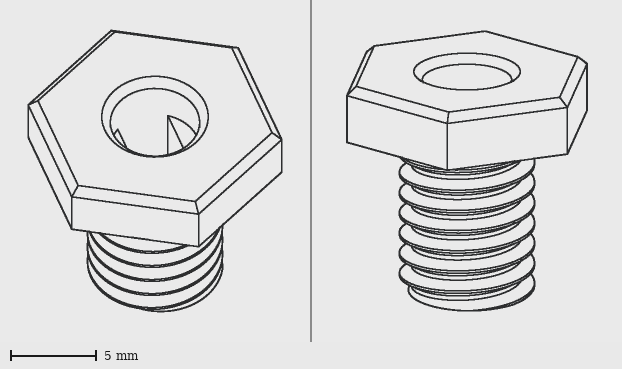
import cadquery as cq
import math

head_sides = 6
head_corner_diameter = 15.0
head_height = 3.4
head_chamfer = 0.5

shank_length = 10.0
thread_major_radius = 7.87 / 2
thread_minor_radius = 6.45 / 2
thread_pitch = 1.25
flank_angle = 30.0
crest_width = thread_pitch / 8
crest_height_at_x = 0.75 * thread_pitch
spare_turns = 2
ridge_embed = 0.1

socket_diameter = 5.2
socket_chamfer = 0.5
round_depth = 2.8
flats_depth = 6.0
flats_width = 3.1

total_height = shank_length + head_height


def make_head():
    return (
        cq.Workplane("XY")
        .workplane(offset=shank_length)
        .polygon(head_sides, head_corner_diameter)
        .extrude(head_height)
        .faces(">Z")
        .chamfer(head_chamfer)
    )


def make_thread_ridge():
    """Right-handed helical ridge, trimmed flat at both ends of the shank."""
    start_z = crest_height_at_x - spare_turns * thread_pitch
    sweep_height = shank_length + 2 * spare_turns * thread_pitch
    base_radius = thread_minor_radius - ridge_embed
    crest_half = crest_width / 2
    flank_rise = (thread_major_radius - base_radius) * math.tan(math.radians(flank_angle))
    base_half = crest_half + flank_rise

    helix = cq.Wire.makeHelix(
        thread_pitch, sweep_height, thread_minor_radius, center=cq.Vector(0, 0, start_z)
    )
    ridge = (
        cq.Workplane("XZ")
        .polyline([
            (base_radius, start_z - base_half),
            (thread_major_radius, start_z - crest_half),
            (thread_major_radius, start_z + crest_half),
            (base_radius, start_z + base_half),
        ])
        .close()
        .sweep(cq.Workplane(helix), isFrenet=True)
    )
    trim = cq.Workplane("XY").circle(head_corner_diameter / 2).extrude(shank_length)
    return ridge.intersect(trim)


def make_shank():
    core = cq.Workplane("XY").circle(thread_minor_radius).extrude(shank_length)
    return core.union(make_thread_ridge())


def make_socket():
    """Round bore, entry chamfer and the deeper part narrowed by two flats."""
    top = cq.Workplane("XY").workplane(offset=total_height)
    bore = top.circle(socket_diameter / 2).extrude(-round_depth)
    entry = cq.Workplane(cq.Solid.makeCone(
        socket_diameter / 2,
        socket_diameter / 2 + socket_chamfer,
        socket_chamfer,
        pnt=cq.Vector(0, 0, total_height - socket_chamfer),
    ))
    full_depth = round_depth + flats_depth
    flats_slab = top.rect(socket_diameter, flats_width).extrude(-full_depth)
    flats_bore = top.circle(socket_diameter / 2).extrude(-full_depth).intersect(flats_slab)
    return bore.union(entry).union(flats_bore)


result = make_head().union(make_shank()).cut(make_socket())